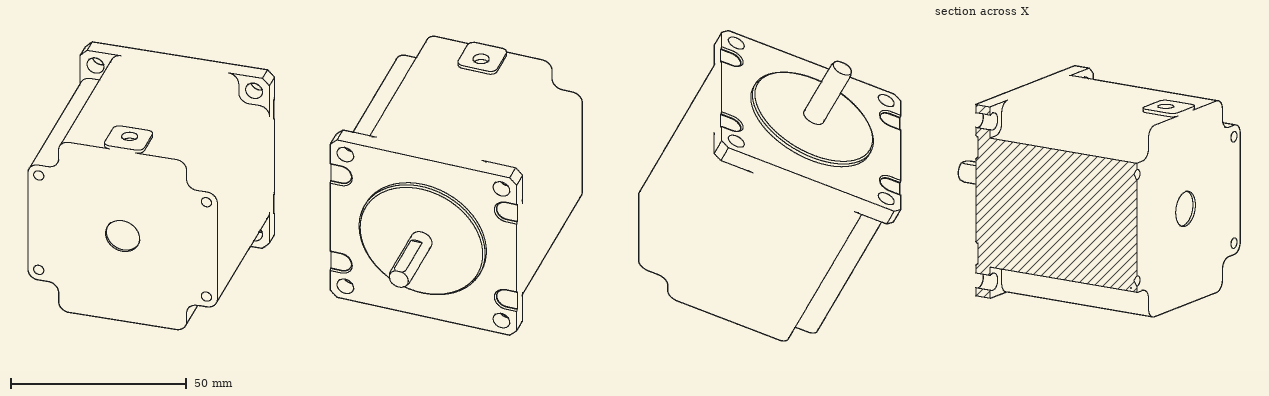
import cadquery as cq
import math

width = 56.4
half_width = width / 2
total_length = 75.6
flange_front = 55.0
flange_thickness = 5.0
flange_rear = flange_front - flange_thickness
flange_corner_radius = 38.4

relief_wall = 19.05
relief_radius = 3.1
mount_hole_offset = 23.6
mount_hole_radius = 2.5

boss_radius = 19.05
boss_height = 1.6
boss_chamfer = 0.5

shaft_radius = 3.2
shaft_chamfer_radial = 0.3
shaft_chamfer_axial = 1.05
flat_start = 60.8
flat_depth = 0.49

screw_x = 24.95
screw_z = 15.65
head_slot_radius = 3.0
head_slot_depth = 0.7
head_slot_chamfer = 0.45
dimple_radius = 1.3
dimple_mouth_radius = 1.5
dimple_tip_angle = 118

rear_recess_radius = 5.1
rear_recess_depth = 0.8

pad_width = 11.7
pad_length = 11.5
pad_height = 1.0
pad_corner_radius = 2.0
cable_hole_y = 6.7
cable_hole_radius = 2.3
cable_hole_depth = 2.0


def xz_plane(y):
    """Sketch plane at the given Y, with local x along +X, local y along +Z and its normal along -Y."""
    return cq.Workplane("XZ", origin=(0, y, 0))


def four_corners(x, z):
    return [(sx * x, sz * z) for sx in (-1, 1) for sz in (-1, 1)]


def revolve_about_y(points):
    """Revolve a closed outline of (radius, y) points about the Y axis."""
    return cq.Workplane("XY").polyline(points).close().revolve(360, (0, 0, 0), (0, 1, 0))


def make_body():
    """Square body with a rounded square relief cut out of each corner."""
    tall = cq.Workplane("XZ").rect(2 * relief_wall, width).extrude(-flange_front)
    wide = cq.Workplane("XZ").rect(width, 2 * relief_wall).extrude(-flange_front)
    return tall.union(wide).edges("|Y").fillet(relief_radius)


def make_flange():
    """Square front plate with corners turned round about the motor axis and four mounting holes."""
    flange = xz_plane(flange_rear).rect(width, width).extrude(-flange_thickness)
    turned_blank = xz_plane(flange_rear).circle(flange_corner_radius).extrude(-flange_thickness)
    flange = flange.intersect(turned_blank)
    holes = (
        xz_plane(flange_rear)
        .pushPoints(four_corners(mount_hole_offset, mount_hole_offset))
        .circle(mount_hole_radius)
        .extrude(-flange_thickness)
    )
    return flange.cut(holes)


def make_boss():
    boss_front = flange_front + boss_height
    return revolve_about_y([
        (0, flange_rear),
        (boss_radius, flange_rear),
        (boss_radius, boss_front - boss_chamfer),
        (boss_radius - boss_chamfer, boss_front),
        (0, boss_front),
    ])


def make_shaft():
    shaft = revolve_about_y([
        (0, flange_rear),
        (shaft_radius, flange_rear),
        (shaft_radius, total_length - shaft_chamfer_axial),
        (shaft_radius - shaft_chamfer_radial, total_length),
        (0, total_length),
    ])
    flat_length = total_length - flat_start
    flat_cutter = cq.Workplane("XY").box(
        2 * shaft_radius, flat_length, shaft_radius, centered=(True, False, False)
    )
    return shaft.cut(flat_cutter.translate((0, flat_start, shaft_radius - flat_depth)))


def make_pad():
    pad = cq.Workplane("XY", origin=(0, pad_length / 2, half_width))
    pad = pad.rect(pad_width, pad_length).extrude(pad_height)
    return pad.edges("|Z").fillet(pad_corner_radius)


def make_cable_hole():
    floor_z = half_width + pad_height - cable_hole_depth
    plane = cq.Workplane("XY", origin=(0, cable_hole_y, floor_z))
    return plane.circle(cable_hole_radius).extrude(cable_hole_depth)


def make_slots(radius, depth, taper):
    """Slots in the front face with a round inner end at each screw, running out through the sides."""
    outer_center_x = half_width + 2 * radius
    return (
        xz_plane(flange_front)
        .pushPoints(four_corners((screw_x + outer_center_x) / 2, screw_z))
        .slot2D(outer_center_x - screw_x + 2 * radius, 2 * radius)
        .extrude(depth, taper=taper)
    )


def make_head_slots():
    straight_slots = make_slots(head_slot_radius, head_slot_depth, 0)
    mouth_radius = head_slot_radius + head_slot_chamfer
    return straight_slots.union(make_slots(mouth_radius, head_slot_chamfer, 45))


def make_rear_recess():
    return cq.Workplane("XZ").circle(rear_recess_radius).extrude(-rear_recess_depth)


def make_dimple():
    """Shallow drill dimple on the Y axis with a chamfered mouth."""
    mouth_depth = dimple_mouth_radius - dimple_radius
    tip_depth = dimple_radius / math.tan(math.radians(dimple_tip_angle / 2))
    return revolve_about_y([
        (0, 0),
        (dimple_mouth_radius, 0),
        (dimple_radius, mouth_depth),
        (0, mouth_depth + tip_depth),
    ])


result = make_body().union(make_flange()).union(make_boss()).union(make_shaft()).union(make_pad())
result = result.cut(make_cable_hole()).cut(make_head_slots()).cut(make_rear_recess())
for dimple_x, dimple_z in four_corners(screw_x, screw_z):
    result = result.cut(make_dimple().translate((dimple_x, 0, dimple_z)))